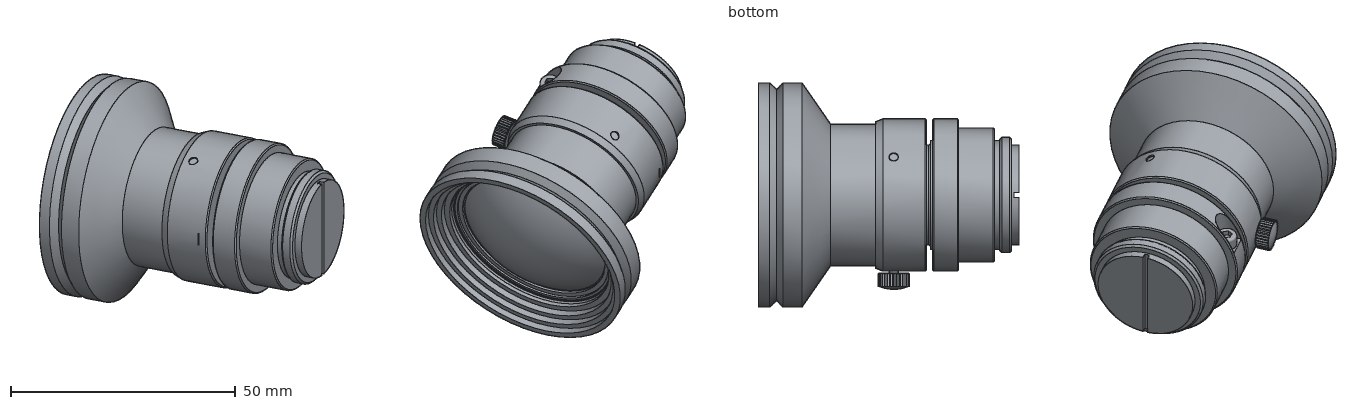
import cadquery as cq
import math


hood_radius = 25.0
hood_groove_radius = 23.55
neck_radius = 15.8
sleeve_front_radius = 16.35
ring_radius = 17.0
inner_tube_radius = 11.15
tube_flare_radius = 11.35
collar_radius = 12.2
rear_body_radius = 14.95
thread_radius = 12.9
edge_chamfer = 0.3
thread_chamfer = 0.45

hood_rim_end = 2.5
hood_groove_x = 4.05
hood_band_start = 5.45
hood_band_end = 9.7
neck_start = 16.05
sleeve_start = 26.1
sleeve_bevel_end = 27.7
sleeve_end = 37.35
tube_flare_start = 37.9
collar_start = 38.3
clamp_start = 38.75
clamp_end = 44.55
rear_body_end = 52.55
thread_start = 53.7
thread_end = 56.4
lens_length = 58.0

baffle_count = 3
baffle_first_radius = 23.6
baffle_radius_step = 1.2
baffle_depth = 1.5
seat_radius = 19.85
seat_end = 5.45
seat_bevel_radius = 19.6
seat_bevel_end = 5.9
retainer_outer_radius = 19.4
retainer_step_radius = 18.8
retainer_step_x = 6.2
retainer_face_x = 6.7
retainer_bore_radius = 17.75
glass_edge_x = 7.3
glass_radius = 17.45
glass_rise = 6.7

screw_x = 30.1
screw_diameter = 2.05
screw_recess = 0.35
screw_angles = (-60, 60)

knob_radius = 3.5
knob_bottom = 17.35
knob_top = 20.4
knob_crown_radius = 3.15
knob_crown_rise = 0.65
knurl_count = 32
knurl_depth = 0.25

clamp_screw_x = (clamp_start + clamp_end) / 2
clamp_screw_y = 13.5
pocket_diameter = 5.0
pocket_floor_z = 5.4
head_diameter = 4.5
head_height = 2.8
head_fillet = 0.45
hex_across_flats = 2.05
hex_depth = 1.15

index_x = 35.4
index_width = 0.3
index_length = 2.8
index_depth = 0.1
slot_width = 1.05
slot_depth = 1.1


def chamfered_band(start, end, radius, chamfer):
    """Profile points of a cylindrical band with both edges chamfered."""
    low = radius - chamfer
    return [(start, low), (start + chamfer, radius), (end - chamfer, radius), (end, low)]


def outside_profile():
    """Outer points, from the front rim to the rear end."""
    return [
        (0, hood_radius),
        (hood_rim_end, hood_radius),
        (hood_groove_x, hood_groove_radius),
        (hood_band_start, hood_radius),
        (hood_band_end, hood_radius),
        (neck_start, neck_radius),
        (sleeve_start, neck_radius),
        (sleeve_start, sleeve_front_radius),
        (sleeve_bevel_end, ring_radius),
        (sleeve_end - edge_chamfer, ring_radius),
        (sleeve_end, ring_radius - edge_chamfer),
        (sleeve_end, inner_tube_radius),
        (tube_flare_start, inner_tube_radius),
        (collar_start, tube_flare_radius),
        (collar_start, collar_radius),
        (clamp_start, collar_radius),
        *chamfered_band(clamp_start, clamp_end, ring_radius, edge_chamfer),
        (clamp_end, rear_body_radius),
        (rear_body_end - edge_chamfer, rear_body_radius),
        (rear_body_end, rear_body_radius - edge_chamfer),
        (rear_body_end, collar_radius),
        (thread_start, collar_radius),
        *chamfered_band(thread_start, thread_end, thread_radius, thread_chamfer),
        (thread_end, inner_tube_radius),
        (lens_length, inner_tube_radius),
    ]


def hood_steps():
    """Stepped inside of the hood, from the glass edge out to the front rim."""
    steps = []
    for i in range(baffle_count):
        radius = baffle_first_radius - i * baffle_radius_step
        steps += [(i * baffle_depth, radius), ((i + 1) * baffle_depth, radius)]
    steps += [
        (baffle_count * baffle_depth, seat_radius),
        (seat_end, seat_radius),
        (seat_bevel_end, seat_bevel_radius),
        (seat_bevel_end, retainer_outer_radius),
        (retainer_step_x, retainer_outer_radius),
        (retainer_step_x, retainer_step_radius),
        (retainer_face_x, retainer_step_radius),
        (retainer_face_x, retainer_bore_radius),
        (glass_edge_x, retainer_bore_radius),
        (glass_edge_x, glass_radius),
    ]
    return steps[::-1]


def lens_body():
    sphere_radius = (glass_radius**2 + glass_rise**2) / (2 * glass_rise)
    half_angle = math.asin(glass_radius / sphere_radius) / 2
    apex_x = glass_edge_x - glass_rise
    arc_middle = (
        apex_x + sphere_radius * (1 - math.cos(half_angle)),
        sphere_radius * math.sin(half_angle),
    )
    profile = (
        cq.Workplane("XY")
        .moveTo(apex_x, 0)
        .threePointArc(arc_middle, (glass_edge_x, glass_radius))
    )
    for point in hood_steps()[1:] + outside_profile():
        profile = profile.lineTo(*point)
    return profile.lineTo(lens_length, 0).close().revolve(360, (0, 0, 0), (1, 0, 0))


def screw_recesses():
    """Shallow round recesses in the sleeve, one at each set screw."""
    recess = cq.Workplane("XZ", origin=(screw_x, 0, 0)).workplane(offset=ring_radius - screw_recess)
    recess = recess.circle(screw_diameter / 2).extrude(2 * screw_recess)
    cutters = cq.Workplane("XY")
    for angle in screw_angles:
        cutters = cutters.add(recess.rotate((0, 0, 0), (1, 0, 0), angle))
    return cutters.combine()


def thumb_screw():
    """Knurled, crowned knob on a stem that points along +Y."""
    stem_root = ring_radius - 2 * screw_recess
    crown_apex = knob_top + knob_crown_rise
    crown_sphere = (knob_crown_radius**2 + knob_crown_rise**2) / (2 * knob_crown_rise)
    middle_r = knob_crown_radius / 2
    middle_y = crown_apex - crown_sphere + math.sqrt(crown_sphere**2 - middle_r**2)
    knob = (
        cq.Workplane("XY")
        .moveTo(0, stem_root)
        .lineTo(screw_diameter / 2, stem_root)
        .lineTo(screw_diameter / 2, knob_bottom)
        .lineTo(knob_radius - edge_chamfer, knob_bottom)
        .lineTo(knob_radius, knob_bottom + edge_chamfer)
        .lineTo(knob_radius, knob_top)
        .lineTo(knob_crown_radius, knob_top)
        .threePointArc((middle_r, middle_y), (0, crown_apex))
        .close()
        .revolve(360, (0, 0, 0), (0, 1, 0))
    )
    star = []
    for i in range(knurl_count):
        for turn, radius in ((i, knob_radius), (i + 0.5, knob_radius - knurl_depth)):
            angle = 2 * math.pi * turn / knurl_count
            star.append((radius * math.cos(angle), radius * math.sin(angle)))
    envelope = cq.Workplane("XZ").polyline(star).close().extrude(-2 * knob_top)
    return knob.intersect(envelope).translate((screw_x, 0, 0))


def clamp_pocket():
    """Round pocket for the clamp screw, opened toward +Y through the ring's rim."""
    floor = cq.Workplane("XY", origin=(clamp_screw_x, clamp_screw_y, pocket_floor_z))
    round_end = floor.circle(pocket_diameter / 2).extrude(ring_radius)
    open_side = floor.rect(pocket_diameter, 2 * ring_radius).extrude(ring_radius)
    open_side = open_side.translate((0, ring_radius, 0))
    return round_end.union(open_side)


def clamp_screw():
    """Socket head with a rounded rim and a hexagon socket."""
    head = (
        cq.Workplane("XY", origin=(clamp_screw_x, clamp_screw_y, pocket_floor_z))
        .circle(head_diameter / 2)
        .extrude(head_height)
        .faces(">Z")
        .edges()
        .fillet(head_fillet)
    )
    hex_across_corners = hex_across_flats / math.cos(math.pi / 6)
    return head.faces(">Z").workplane().polygon(6, hex_across_corners).cutBlind(-hex_depth)


def index_line():
    """Shallow line in the -Y side of the sleeve."""
    line = cq.Workplane("XZ", origin=(index_x, 0, 0)).workplane(offset=ring_radius - index_depth)
    return line.rect(index_width, index_length).extrude(2 * index_depth)


def spanner_slot():
    """Slot across the rear face, parallel to Z."""
    slot = cq.Workplane("YZ", origin=(lens_length - slot_depth, 0, 0))
    return slot.rect(slot_width, 2 * ring_radius).extrude(slot_depth)


result = (
    lens_body()
    .cut(screw_recesses())
    .union(thumb_screw())
    .cut(clamp_pocket())
    .union(clamp_screw())
    .cut(index_line())
    .cut(spanner_slot())
)